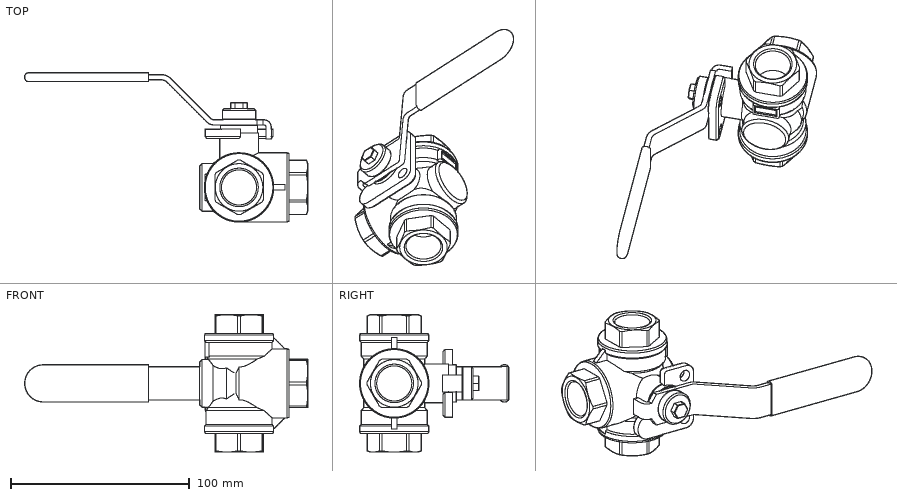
import cadquery as cq
import math


port_reach = 38.5
collar_radius = 38.8 / 2
collar_face = 28.0
collar_chamfer_radial = 0.5
collar_chamfer_axial = 1.1
hex_across_flats = 27.1
hex_turned_diameter = 30.5
hex_end_diameter = 26.6
hex_end_chamfer = 0.8
bore_radius = 9.8
bore_mouth_radius = 10.8
bore_mouth_depth = 1.0
bore_depth = 19.0

neck_radius = 17.1
neck_half_length = 13.6
barrel_radius = 18.5
barrel_start = 15.2
collar_start = 23.0
collar_full = 24.0

cap_face = -22.0
cap_radius = 13.5
cap_chamfer = 1.5
cap_cone_start = -14.6
cap_cone_end = -7.0
shoulder_radius = 17.9
shoulder_start = -1.7

gusset_thickness = 3.0
gusset_edge_sum = 45.0

pad_face = 19.2
pad_width = 15.0
pad_bottom = 14.7
frame_width = 12.7
frame_bottom = 16.3
frame_top = 21.9
frame_depth = 0.6
frame_draft = 0.5
pad_edge_round = 1.0

stem_radius = 11.0
stem_step = 30.5
stem_top_radius = 10.5
stem_top_chamfer = 0.3
flange_size = 38.0
flange_bottom = 27.3
flange_top = 32.7
flange_corner = 5.0
flange_chamfer = 1.1
notch_x = 1.0
notch_z = -5.0
notch_outer_round = 6.8
notch_side_round = 1.9
flange_hole_diameter = 6.3
flange_hole_offset = 13.0

handle_width = 18.7
strip = 3.0
handle_bottom = 34.9
handle_mid = handle_bottom + strip / 2
handle_top = handle_bottom + strip
grip_tip = -120.0
grip_end = -50.5
grip_width = 21.0
grip_thickness = 5.0
grip_round = 2.2
grip_mid = 61.7
lower_bend_x = -15.7
upper_bend_x = lower_bend_x - (grip_mid - handle_mid)
upper_bend_radius = 6.3
lower_bend_radius = 4.0
tab_outer_x = 18.0
tab_mid_x = tab_outer_x - strip / 2
tab_bend_radius = 2.7
tab_bottom = 27.0
tab_width = 9.5
taper_start = 10.1
taper_end = 13.5

nut_radius = 9.4
nut_top = 44.0
nut_chamfer = 1.0
nut_seat_chamfer = 0.5
stem_end_top = 47.5
stem_end_corner_diameter = 9.4
stem_end_chamfer = 0.3


def port_hexagon(corner_turn):
    """Hexagonal port end along +Z, with its outer corners rounded and its face chamfered."""
    length = port_reach - collar_face
    across_corners = hex_across_flats / math.cos(math.pi / 6)
    hexagon = (
        cq.Workplane("XY")
        .workplane(offset=collar_face)
        .polygon(6, across_corners)
        .extrude(length)
        .rotate((0, 0, 0), (0, 0, 1), corner_turn)
    )
    turned_radius = hex_turned_diameter / 2
    turned = (
        cq.Workplane("XZ")
        .moveTo(0, collar_face)
        .lineTo(turned_radius, collar_face)
        .lineTo(turned_radius, port_reach - hex_end_chamfer)
        .lineTo(hex_end_diameter / 2, port_reach)
        .lineTo(0, port_reach)
        .close()
        .revolve(360, (0, 0, 0), (0, 1, 0))
    )
    return hexagon.intersect(turned)


def port_bore():
    """Blind bore along +Z with a flared mouth."""
    floor = port_reach - bore_depth
    return (
        cq.Workplane("XZ")
        .moveTo(0, floor)
        .lineTo(bore_radius, floor)
        .lineTo(bore_radius, port_reach - bore_mouth_depth)
        .lineTo(bore_mouth_radius, port_reach)
        .lineTo(0, port_reach)
        .close()
        .revolve(360, (0, 0, 0), (0, 1, 0))
    )


def at_each_port(shape_up):
    """Copies of a +Z shape placed on the upper, lower and +X ports."""
    lower = shape_up.mirror("XY")
    side = shape_up.rotate((0, 0, 0), (0, 1, 0), 90)
    return [shape_up, lower, side]


def vertical_body():
    upper_half = (
        cq.Workplane("XZ")
        .moveTo(0, 0)
        .lineTo(neck_radius, 0)
        .lineTo(neck_radius, neck_half_length)
        .lineTo(barrel_radius, barrel_start)
        .lineTo(barrel_radius, collar_start)
        .lineTo(collar_radius, collar_full)
        .lineTo(collar_radius, collar_face - collar_chamfer_axial)
        .lineTo(collar_radius - collar_chamfer_radial, collar_face)
        .lineTo(0, collar_face)
        .close()
        .revolve(360, (0, 0, 0), (0, 1, 0))
    )
    return upper_half.union(upper_half.mirror("XY"))


def horizontal_body():
    return (
        cq.Workplane("XY")
        .moveTo(cap_face, 0)
        .lineTo(cap_face, cap_radius - cap_chamfer)
        .lineTo(cap_face + cap_chamfer, cap_radius)
        .lineTo(cap_cone_start, cap_radius)
        .lineTo(cap_cone_end, shoulder_radius)
        .lineTo(shoulder_start, shoulder_radius)
        .lineTo(0, collar_radius)
        .lineTo(collar_face - collar_chamfer_axial, collar_radius)
        .lineTo(collar_face, collar_radius - collar_chamfer_radial)
        .lineTo(collar_face, 0)
        .close()
        .revolve(360, (0, 0, 0), (1, 0, 0))
    )


def gussets():
    """Thin triangular webs filling the corners between the +X collar and the other two."""
    reach = gusset_edge_sum - collar_radius
    upper = (
        cq.Workplane("XZ")
        .polyline([(0, 0), (0, reach), (collar_radius, reach), (reach, collar_radius), (reach, 0)])
        .close()
        .extrude(gusset_thickness / 2, both=True)
    )
    return upper.union(upper.mirror("XY"))


def label_pad():
    """Flat pad with rounded upright edges on the -X side of the upper barrel."""
    return (
        cq.Workplane("XY", origin=(-pad_face, 0, pad_bottom))
        .box(pad_face, pad_width, collar_start - pad_bottom, centered=(False, True, False))
        .edges("|Z and <X")
        .fillet(pad_edge_round)
    )


def label_recess():
    """Shallow rectangular recess in the face of the pad, with sloping walls."""
    return (
        cq.Workplane("XY", origin=(-pad_face, 0, frame_bottom))
        .box(frame_depth, frame_width, frame_top - frame_bottom, centered=(False, True, False))
        .faces(">X")
        .chamfer(frame_draft)
    )


def cylinder_along_y(radius, start, end):
    return cq.Workplane("XZ", origin=(0, start, 0)).circle(radius).extrude(start - end)


def flange():
    """Square mounting plate with a quarter notch and two holes on its -X side."""
    half = flange_size / 2
    thickness = flange_top - flange_bottom
    plate = (
        cq.Workplane("XZ", origin=(0, flange_bottom, 0))
        .polyline([
            (-half, -half), (half, -half), (half, notch_z),
            (notch_x, notch_z), (notch_x, half), (-half, half),
        ])
        .close()
        .extrude(-thickness)
    )
    plate = plate.edges("|Y and <X").fillet(flange_corner)
    plate = plate.edges("|Y and >X").fillet(notch_outer_round)
    notch_end = cq.selectors.NearestToPointSelector((notch_x, (flange_bottom + flange_top) / 2, half))
    plate = plate.edges("|Y").edges(notch_end).fillet(notch_side_round)
    plate = plate.faces("<Y").chamfer(flange_chamfer)
    holes = (
        cq.Workplane("XZ", origin=(0, flange_bottom, 0))
        .pushPoints([(-flange_hole_offset, side * flange_hole_offset) for side in (-1, 1)])
        .circle(flange_hole_diameter / 2)
        .extrude(-thickness)
    )
    return plate.cut(holes)


def round_bend(solid, x, outer_y, inner_y, shift, radius):
    """Round both edges of a sharp bend, whose corners lie at x + shift (outer) and x - shift (inner)."""
    outer = cq.selectors.NearestToPointSelector((x + shift, outer_y, 0))
    solid = solid.edges("|Z").edges(outer).fillet(radius + strip / 2)
    inner = cq.selectors.NearestToPointSelector((x - shift, inner_y, 0))
    return solid.edges("|Z").edges(inner).fillet(radius - strip / 2)


def handle_strip():
    """Bent strip that carries the grip at one end and the stop tab at the other."""
    grip_inside = grip_end - grip_width / 2
    low = handle_bottom
    high = handle_top
    corner_shift = strip / 2 * math.tan(math.pi / 8)
    half = strip / 2
    profile = (
        cq.Workplane("XY")
        .polyline([
            (grip_inside, grip_mid + half),
            (upper_bend_x + corner_shift, grip_mid + half),
            (lower_bend_x + corner_shift, high),
            (tab_mid_x + half, high),
            (tab_mid_x + half, tab_bottom),
            (tab_mid_x - half, tab_bottom),
            (tab_mid_x - half, low),
            (lower_bend_x - corner_shift, low),
            (upper_bend_x - corner_shift, grip_mid - half),
            (grip_inside, grip_mid - half),
        ])
        .close()
        .extrude(handle_width / 2, both=True)
    )

    bent = round_bend(
        profile, upper_bend_x, grip_mid + half, grip_mid - half, corner_shift, upper_bend_radius
    )
    bent = round_bend(bent, lower_bend_x, low, high, -corner_shift, lower_bend_radius)
    bent = round_bend(bent, tab_mid_x, high, low, half, tab_bend_radius)

    outline = (
        cq.Workplane("XZ", origin=(0, tab_bottom, 0))
        .polyline([
            (grip_inside, -handle_width / 2), (taper_start, -handle_width / 2),
            (taper_end, -tab_width / 2), (tab_outer_x, -tab_width / 2),
            (tab_outer_x, tab_width / 2), (taper_end, tab_width / 2),
            (taper_start, handle_width / 2), (grip_inside, handle_width / 2),
        ])
        .close()
        .extrude(-(grip_mid + strip - tab_bottom))
    )
    return bent.intersect(outline)


def grip():
    """Flat sleeve with a round tip and rounded edges."""
    half_width = grip_width / 2
    arc_centre = grip_tip + half_width
    sleeve = (
        cq.Workplane("XZ", origin=(0, grip_mid, 0))
        .moveTo(grip_end, -half_width)
        .lineTo(arc_centre, -half_width)
        .threePointArc((grip_tip, 0), (arc_centre, half_width))
        .lineTo(grip_end, half_width)
        .close()
        .extrude(grip_thickness / 2, both=True)
    )
    return sleeve.faces("<Y or >Y").edges("not >X").fillet(grip_round)


def nut_and_stem_end():
    nut = (
        cylinder_along_y(nut_radius, handle_top, nut_top)
        .faces(">Y")
        .chamfer(nut_chamfer)
        .faces("<Y")
        .chamfer(nut_seat_chamfer)
    )
    stem_end = (
        cq.Workplane("XZ", origin=(0, handle_top, 0))
        .polygon(6, stem_end_corner_diameter)
        .extrude(handle_top - stem_end_top)
        .faces(">Y")
        .chamfer(stem_end_chamfer)
    )
    return nut.union(stem_end)


def stem():
    lower = cylinder_along_y(stem_radius, 0, stem_step)
    upper = cylinder_along_y(stem_top_radius, stem_step, handle_bottom)
    return lower.union(upper.faces(">Y").chamfer(stem_top_chamfer))


body = vertical_body().union(horizontal_body()).union(gussets()).union(label_pad())
body = body.cut(label_recess())
for hexagon in at_each_port(port_hexagon(corner_turn=90)):
    body = body.union(hexagon)

lever = handle_strip().union(grip())
result = body.union(stem()).union(flange()).union(lever).union(nut_and_stem_end())
for bore in at_each_port(port_bore()):
    result = result.cut(bore)